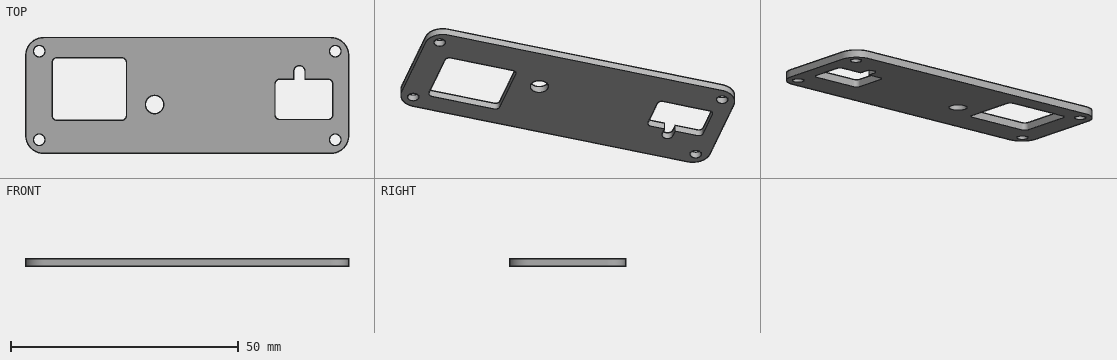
import cadquery as cq

plate_length = 71.0
plate_width = 25.5
plate_thickness = 1.7
plate_corner_radius = 4.0

mount_hole_diameter = 2.5
mount_spacing_x = 65.05
mount_spacing_y = 19.45

window_length = 16.25
window_width = 13.7
window_center = (-21.5, 1.4)
window_corner_radius = 1.0

round_hole_diameter = 4.0
round_hole_center = (-7.2, -2.0)

opening_length = 12.65
opening_width = 8.8
opening_center = (25.65, -0.85)
opening_corner_radius = 1.0
notch_width = 2.4
notch_center_x = 24.65
notch_top_y = 6.5


def rounded_block(length, width, corner_radius, center=(0, 0)):
    """Block of plate thickness with rounded vertical edges."""
    return (
        cq.Workplane("XY")
        .center(*center)
        .rect(length, width)
        .extrude(plate_thickness)
        .edges("|Z")
        .fillet(corner_radius)
    )


def notch_block():
    """Upright slot from the middle of the small opening to the notch top."""
    slot_bottom_y = opening_center[1]
    slot_length = notch_top_y - slot_bottom_y
    return (
        cq.Workplane("XY")
        .center(notch_center_x, slot_bottom_y + slot_length / 2)
        .slot2D(slot_length, notch_width, 90)
        .extrude(plate_thickness)
    )


plate = rounded_block(plate_length, plate_width, plate_corner_radius)
window = rounded_block(window_length, window_width, window_corner_radius, window_center)
opening = rounded_block(opening_length, opening_width, opening_corner_radius, opening_center)

mount_holes = (
    cq.Workplane("XY")
    .rarray(mount_spacing_x, mount_spacing_y, 2, 2)
    .circle(mount_hole_diameter / 2)
    .extrude(plate_thickness)
)
round_hole = (
    cq.Workplane("XY")
    .center(*round_hole_center)
    .circle(round_hole_diameter / 2)
    .extrude(plate_thickness)
)

result = plate.cut(window).cut(opening).cut(notch_block()).cut(mount_holes).cut(round_hole)